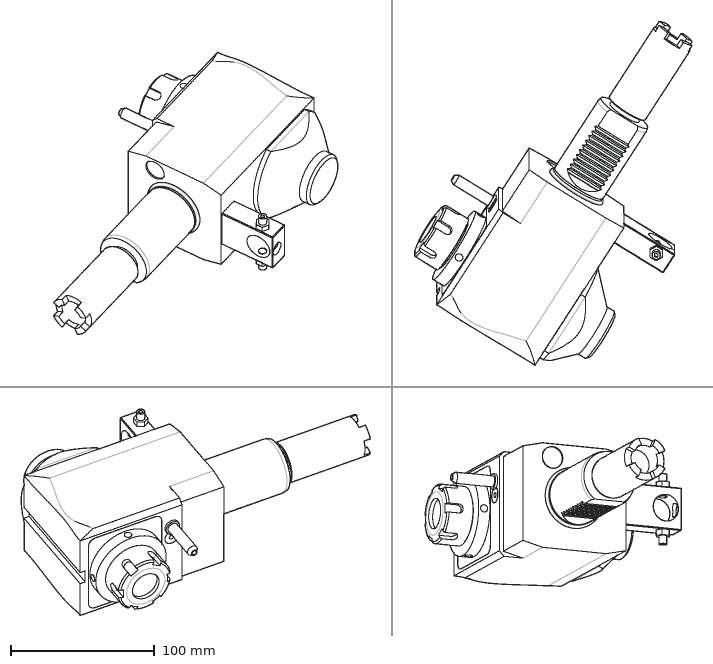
import cadquery as cq
import math


HOUSING_LENGTH = 116.0
HALF_HEIGHT = 37.5
EDGE_HALF_HEIGHT = 33.9
SLOPE_DROP = HALF_HEIGHT - EDGE_HALF_HEIGHT
LEFT_X = -41.5
RIGHT_X = 39.5
SLOPE_RUN = 14.9
STEP_LENGTH = 35.0
STEP_LEFT_X = -38.5
REAR_SLOPE_RUN = 12.0
REAR_CROWN_X = -11.4
REAR_CROWN_HALF_HEIGHT = 36.5
REAR_LEFT_FLANK_X = -27.0
REAR_LEFT_FLANK_HALF_HEIGHT = 35.7
REAR_RIGHT_FLANK_X = 7.1
REAR_RIGHT_FLANK_HALF_HEIGHT = 35.3
KEYWAY_WIDTH = 10.0
KEYWAY_DEPTH = 4.0
PLUG_X = -16.0
PLUG_Z = 27.7
PLUG_RADIUS = 7.7
PLUG_RECESS = 1.2

COLLAR_RADIUS = 21.7
COLLAR_LENGTH = 2.2
COLLAR_ROUND = 1.5
RELIEF_RADIUS = 19.7
RELIEF_END = 3.7
SHANK_RADIUS = 20.0
SHANK_END = 63.2
SHANK_CHAMFER_LENGTH = 2.8
SHANK_CHAMFER_DEPTH = 0.7
NECK_RADIUS = 12.0
SPINDLE_RADIUS = 15.0
SPINDLE_START = 66.6
SPINDLE_CHAMFER = 0.6
SPINDLE_END = 130.25
SPINDLE_BORE_RADIUS = 10.0
SPINDLE_BORE_DEPTH = 20.0
CLAW_COUNT = 4
CLAW_HEIGHT = 5.0
CLAW_GAP_HALF_ANGLE = 25.0

RACK_FLAT_Z = -15.75
RACK_START = 5.0
RACK_PITCH = 4.0
RACK_TEETH = 10
RACK_FIRST_GROOVE = 11.0
RACK_GROOVE_DEPTH = 1.5

TOOL_Y = 80.2
FLANGE_RADIUS = 28.0
FLANGE_FACE_X = -49.8
FLANGE_HOLE_COUNT = 4
FLANGE_HOLE_RADIUS = 2.7
FLANGE_HOLE_DEPTH = 2.7
NUT_RADIUS = 20.9
NUT_FACE_X = -71.2
NUT_BACK_X = -51.1
NUT_CHAMFER_LENGTH = 2.2
NUT_CHAMFER_DEPTH = 1.3
NUT_NECK_RADIUS = 18.5
NUT_RIM_RADIUS = 15.2
NUT_RIM_HEIGHT = 0.9
NUT_BORE_RADIUS = 10.6
NUT_BORE_DEPTH = 3.0
NUT_SLOT_COUNT = 6
NUT_SLOT_WIDTH = 6.5
NUT_SLOT_END_X = -58.5
NUT_SLOT_DEPTH = 3.4
PANEL_LENGTH = 58.2
PANEL_HEIGHT = 63.2
PANEL_CORNER = 5.5
PANEL_RECESS = 0.2

PIPE_Y = 43.2
PIPE_Z = 17.5
PIPE_RADIUS = 3.9
PIPE_TIP_X = -74.0
PIPE_TIP_RADIUS = 2.3
PIPE_TIP_LENGTH = 2.7
PIPE_COLLAR_RADIUS = 5.4
PIPE_COLLAR_LENGTH = 1.7
PIPE_BORE_RADIUS = 1.7
PIPE_BORE_DEPTH = 5.0
PORT_Z = 7.8
PORT_RECESS = 0.2

COVER_RADIUS = 40.2
COVER_RIM_END_X = 43.2
COVER_BOSS_RADIUS = 19.3
COVER_CONE_END_X = COVER_RIM_END_X + COVER_RADIUS - COVER_BOSS_RADIUS
COVER_END_X = 71.9
COVER_END_CHAMFER = 1.9
COVER_FLAT_Y = 111.3
COVER_HALF_HEIGHT = 32.4

BRACKET_END_X = 82.14
BRACKET_Y_MIN = 0.9
BRACKET_Y_MAX = 16.4
BRACKET_HALF_HEIGHT = 15.2
BRACKET_CHAMFER = 0.6
BRACKET_HOLE_X = 70.1
BRACKET_HOLE_RADIUS = 9.5
END_HOLE_RADIUS = 4.8
SCREW_Y = 6.3
SCREW_RADIUS = 2.85
SCREW_INNER_Z = 8.8
SCREW_OUTER_Z = 25.0
SCREW_SOCKET_DIAMETER = 3.0
SCREW_SOCKET_DEPTH = 2.5
LOCKNUT_DIAMETER = 10.2
LOCKNUT_HEIGHT = 4.0

OVERLAP = 2.0
CLEARANCE = 5.0


def box(x_range, y_range, z_range):
    """Box spanning the given coordinate ranges."""
    spans = [high - low for low, high in (x_range, y_range, z_range)]
    return cq.Workplane("XY").box(*spans, centered=False).translate((x_range[0], y_range[0], z_range[0]))


def prism_along_y(points, y_start, y_end):
    """Prism of an (X, Z) outline between two Y positions."""
    return cq.Workplane("XZ", origin=(0, y_start, 0)).polyline(points).close().extrude(y_start - y_end)


def cylinder_x(radius, x_start, x_end, y, z):
    """Cylinder parallel to X."""
    return cq.Workplane("YZ", origin=(x_start, y, z)).circle(radius).extrude(x_end - x_start)


def turned_on_x(points, y, z):
    """Solid of revolution about a line parallel to X, from (x, radius) points."""
    return cq.Workplane("XY").polyline(points).close().revolve(360, (0, 0), (1, 0)).translate((0, y, z))


def turned_shank(points):
    """Solid of revolution about Y, from (radius, distance from mounting face) points."""
    outline = [(radius, -distance) for radius, distance in points]
    return cq.Workplane("XY").polyline(outline).close().revolve(360, (0, 0), (0, 1))


def both_z_sides(solid):
    """The solid and its mirror image across the XY plane."""
    return solid.union(solid.mirror("XY"))


def housing_section(left_x, left_run):
    """Symmetric (X, Z) outline with sloped corners on both sides."""
    upper = [
        (left_x, EDGE_HALF_HEIGHT),
        (left_x + left_run, HALF_HEIGHT),
        (RIGHT_X - SLOPE_RUN, HALF_HEIGHT),
        (RIGHT_X, EDGE_HALF_HEIGHT),
    ]
    lower = [(x, -z) for x, z in reversed(upper)]
    return upper + lower


def rear_slope_cutter():
    """Waste above the crowned rear slope, swept obliquely down to the rear face."""
    reach = 2.0
    start = (LEFT_X - CLEARANCE, EDGE_HALF_HEIGHT)
    crown = [
        (LEFT_X, EDGE_HALF_HEIGHT),
        (LEFT_X + SLOPE_DROP, EDGE_HALF_HEIGHT),
        (REAR_LEFT_FLANK_X, REAR_LEFT_FLANK_HALF_HEIGHT),
        (REAR_CROWN_X, REAR_CROWN_HALF_HEIGHT),
        (REAR_RIGHT_FLANK_X, REAR_RIGHT_FLANK_HALF_HEIGHT),
        (RIGHT_X - SLOPE_RUN, EDGE_HALF_HEIGHT),
        (RIGHT_X, EDGE_HALF_HEIGHT),
    ]
    top_z = HALF_HEIGHT + CLEARANCE
    outline = (
        cq.Workplane("XZ", origin=(0, HOUSING_LENGTH, 0))
        .moveTo(*start)
        .lineTo(*crown[0])
        .spline(crown[1:], includeCurrent=True)
        .lineTo(RIGHT_X + CLEARANCE, EDGE_HALF_HEIGHT)
        .lineTo(RIGHT_X + CLEARANCE, top_z)
        .lineTo(start[0], top_z)
        .close()
    )
    sweep = cq.Vector(0, -REAR_SLOPE_RUN * reach, SLOPE_DROP * reach)
    return cq.Workplane(cq.Solid.extrudeLinear(outline.wires().val(), [], sweep))


def make_housing():
    step = prism_along_y(housing_section(STEP_LEFT_X, SLOPE_RUN), 0, STEP_LENGTH)
    main = prism_along_y(housing_section(LEFT_X, SLOPE_DROP), STEP_LENGTH, HOUSING_LENGTH)
    housing = step.union(main).cut(both_z_sides(rear_slope_cutter()))

    keyway = box(
        (LEFT_X - CLEARANCE, RIGHT_X + CLEARANCE),
        (HOUSING_LENGTH - KEYWAY_DEPTH, HOUSING_LENGTH + CLEARANCE),
        (-KEYWAY_WIDTH / 2, KEYWAY_WIDTH / 2),
    )
    plug = cq.Workplane("XZ", origin=(PLUG_X, 0, PLUG_Z)).circle(PLUG_RADIUS).extrude(-PLUG_RECESS)
    panel = (
        cq.Workplane("YZ", origin=(LEFT_X, TOOL_Y, 0))
        .rect(PANEL_LENGTH, PANEL_HEIGHT)
        .extrude(PANEL_RECESS)
        .edges("|X")
        .fillet(PANEL_CORNER)
    )
    return housing.cut(keyway).cut(plug).cut(panel)


def make_rack_cutter():
    """Flat with a 45 degree run-in and V grooves, seen as a (Y, Z) outline."""
    bottom_z = -SHANK_RADIUS - CLEARANCE
    run_in_end = RACK_START + RACK_FLAT_Z + SHANK_RADIUS
    run_in_start = RACK_START - CLEARANCE
    points = [(-run_in_start, bottom_z), (-run_in_end, RACK_FLAT_Z)]
    for index in range(RACK_TEETH):
        groove = RACK_FIRST_GROOVE + index * RACK_PITCH
        points.append((-groove + RACK_GROOVE_DEPTH, RACK_FLAT_Z))
        points.append((-groove, RACK_FLAT_Z + RACK_GROOVE_DEPTH))
        points.append((-groove - RACK_GROOVE_DEPTH, RACK_FLAT_Z))
    rack_end = (SHANK_END + SPINDLE_START) / 2
    points += [(-rack_end, RACK_FLAT_Z), (-rack_end, bottom_z)]
    return cq.Workplane("YZ").polyline(points).close().extrude(SHANK_RADIUS + CLEARANCE, both=True)


def make_shank():
    shank = turned_shank([
        (0, -OVERLAP),
        (RELIEF_RADIUS, -OVERLAP),
        (RELIEF_RADIUS, RELIEF_END),
        (SHANK_RADIUS, RELIEF_END),
        (SHANK_RADIUS, SHANK_END - SHANK_CHAMFER_LENGTH),
        (SHANK_RADIUS - SHANK_CHAMFER_DEPTH, SHANK_END),
        (NECK_RADIUS, SHANK_END),
        (NECK_RADIUS, SPINDLE_START),
        (SPINDLE_RADIUS - SPINDLE_CHAMFER, SPINDLE_START),
        (SPINDLE_RADIUS, SPINDLE_START + SPINDLE_CHAMFER),
        (SPINDLE_RADIUS, SPINDLE_END),
        (0, SPINDLE_END),
    ])
    bore_start = -SPINDLE_END + SPINDLE_BORE_DEPTH
    bore = (
        cq.Workplane("XZ", origin=(0, bore_start, 0))
        .circle(SPINDLE_BORE_RADIUS)
        .extrude(SPINDLE_BORE_DEPTH)
    )
    collar = (
        cq.Workplane("XZ", origin=(0, OVERLAP, 0))
        .circle(COLLAR_RADIUS)
        .extrude(OVERLAP + COLLAR_LENGTH)
        .faces("<Y")
        .edges()
        .fillet(COLLAR_ROUND)
    )
    shank = shank.cut(make_rack_cutter()).cut(bore).union(collar)

    reach = SPINDLE_RADIUS + CLEARANCE
    half_width = reach * math.tan(math.radians(CLAW_GAP_HALF_ANGLE))
    gap = prism_along_y(
        [(0, 0), (reach, half_width), (reach, -half_width)],
        -SPINDLE_END - CLEARANCE,
        -SPINDLE_END + CLAW_HEIGHT,
    )
    for index in range(CLAW_COUNT):
        shank = shank.cut(gap.rotate((0, 0, 0), (0, 1, 0), index * 360 / CLAW_COUNT))
    return shank


def make_tool_end():
    body = turned_on_x(
        [
            (LEFT_X + OVERLAP, 0),
            (LEFT_X + OVERLAP, FLANGE_RADIUS),
            (FLANGE_FACE_X, FLANGE_RADIUS),
            (FLANGE_FACE_X, NUT_NECK_RADIUS),
            (NUT_BACK_X, NUT_NECK_RADIUS),
            (NUT_BACK_X, NUT_RADIUS),
            (NUT_FACE_X + NUT_CHAMFER_LENGTH, NUT_RADIUS),
            (NUT_FACE_X + NUT_RIM_HEIGHT, NUT_RADIUS - NUT_CHAMFER_DEPTH),
            (NUT_FACE_X, NUT_RIM_RADIUS),
            (NUT_FACE_X, NUT_BORE_RADIUS),
            (NUT_FACE_X + NUT_BORE_DEPTH, NUT_BORE_RADIUS),
            (NUT_FACE_X + NUT_BORE_DEPTH, 0),
        ],
        TOOL_Y,
        0,
    )
    axis_start = (0, TOOL_Y, 0)
    axis_end = (1, TOOL_Y, 0)

    slot_floor = NUT_RADIUS - NUT_SLOT_DEPTH
    slot_center_x = NUT_SLOT_END_X - NUT_SLOT_WIDTH / 2
    slot_plane = cq.Workplane("XZ", origin=(slot_center_x, TOOL_Y - slot_floor, 0))
    slot_run = slot_center_x - NUT_FACE_X + CLEARANCE
    slot = (
        slot_plane.circle(NUT_SLOT_WIDTH / 2).extrude(CLEARANCE)
        .union(slot_plane.center(-slot_run / 2, 0).rect(slot_run, NUT_SLOT_WIDTH).extrude(CLEARANCE))
    )
    for index in range(NUT_SLOT_COUNT):
        body = body.cut(slot.rotate(axis_start, axis_end, index * 360 / NUT_SLOT_COUNT))

    hole_x = (FLANGE_FACE_X + LEFT_X) / 2
    hole = cq.Workplane(cq.Solid.makeCone(
        FLANGE_HOLE_RADIUS,
        0,
        FLANGE_HOLE_DEPTH,
        cq.Vector(hole_x, TOOL_Y - FLANGE_RADIUS, 0),
        cq.Vector(0, 1, 0),
    ))
    for index in range(FLANGE_HOLE_COUNT):
        body = body.cut(hole.rotate(axis_start, axis_end, index * 360 / FLANGE_HOLE_COUNT))
    return body


def make_coolant_pipe():
    pipe = turned_on_x(
        [
            (LEFT_X + OVERLAP, 0),
            (LEFT_X + OVERLAP, PIPE_COLLAR_RADIUS),
            (LEFT_X - PIPE_COLLAR_LENGTH, PIPE_COLLAR_RADIUS),
            (LEFT_X - PIPE_COLLAR_LENGTH, PIPE_RADIUS),
            (PIPE_TIP_X + PIPE_TIP_LENGTH, PIPE_RADIUS),
            (PIPE_TIP_X, PIPE_TIP_RADIUS),
            (PIPE_TIP_X, 0),
        ],
        PIPE_Y,
        PIPE_Z,
    )
    return pipe.cut(cylinder_x(PIPE_BORE_RADIUS, PIPE_TIP_X, PIPE_TIP_X + PIPE_BORE_DEPTH, PIPE_Y, PIPE_Z))


def make_port_cutter():
    """Shallow round seat with a small blind hole at its center."""
    seat = cylinder_x(PIPE_COLLAR_RADIUS, LEFT_X, LEFT_X + PORT_RECESS, PIPE_Y, PORT_Z)
    return seat.union(cylinder_x(PIPE_BORE_RADIUS, LEFT_X, LEFT_X + PIPE_BORE_DEPTH, PIPE_Y, PORT_Z))


def make_rear_cover():
    cover = turned_on_x(
        [
            (RIGHT_X - OVERLAP, 0),
            (RIGHT_X - OVERLAP, COVER_RADIUS),
            (COVER_RIM_END_X, COVER_RADIUS),
            (COVER_CONE_END_X, COVER_BOSS_RADIUS),
            (COVER_END_X - COVER_END_CHAMFER, COVER_BOSS_RADIUS),
            (COVER_END_X, COVER_BOSS_RADIUS - COVER_END_CHAMFER),
            (COVER_END_X, 0),
        ],
        TOOL_Y,
        0,
    )
    slope = SLOPE_DROP / SLOPE_RUN
    end_x = COVER_END_X + CLEARANCE
    end_half_height = COVER_HALF_HEIGHT - slope * (end_x - COVER_RIM_END_X)
    envelope = prism_along_y(
        [
            (RIGHT_X - OVERLAP, COVER_HALF_HEIGHT),
            (COVER_RIM_END_X, COVER_HALF_HEIGHT),
            (end_x, end_half_height),
            (end_x, -end_half_height),
            (COVER_RIM_END_X, -COVER_HALF_HEIGHT),
            (RIGHT_X - OVERLAP, -COVER_HALF_HEIGHT),
        ],
        0,
        COVER_FLAT_Y,
    )
    return cover.intersect(envelope)


def make_bracket():
    arm = box(
        (RIGHT_X - OVERLAP, BRACKET_END_X),
        (BRACKET_Y_MIN, BRACKET_Y_MAX),
        (-BRACKET_HALF_HEIGHT, BRACKET_HALF_HEIGHT),
    )
    arm = arm.edges("|X or >X").chamfer(BRACKET_CHAMFER)
    hole = (
        cq.Workplane("XZ", origin=(BRACKET_HOLE_X, 0, 0))
        .circle(BRACKET_HOLE_RADIUS)
        .extrude(-BRACKET_Y_MAX - CLEARANCE)
    )
    end_hole = cylinder_x(END_HOLE_RADIUS, BRACKET_HOLE_X, BRACKET_END_X, SCREW_Y, 0)
    screw = (
        cq.Workplane("XY", origin=(BRACKET_HOLE_X, SCREW_Y, SCREW_INNER_Z))
        .circle(SCREW_RADIUS)
        .extrude(SCREW_OUTER_Z - SCREW_INNER_Z)
        .faces(">Z")
        .workplane()
        .polygon(6, SCREW_SOCKET_DIAMETER)
        .cutBlind(-SCREW_SOCKET_DEPTH)
    )
    locknut = (
        cq.Workplane("XY", origin=(BRACKET_HOLE_X, SCREW_Y, BRACKET_HALF_HEIGHT))
        .polygon(6, LOCKNUT_DIAMETER)
        .extrude(LOCKNUT_HEIGHT)
    )
    return arm.cut(hole).cut(end_hole).union(both_z_sides(screw.union(locknut)))


result = (
    make_housing()
    .union(make_shank())
    .union(make_tool_end())
    .union(make_coolant_pipe())
    .union(make_rear_cover())
    .union(make_bracket())
    .cut(make_port_cutter())
)